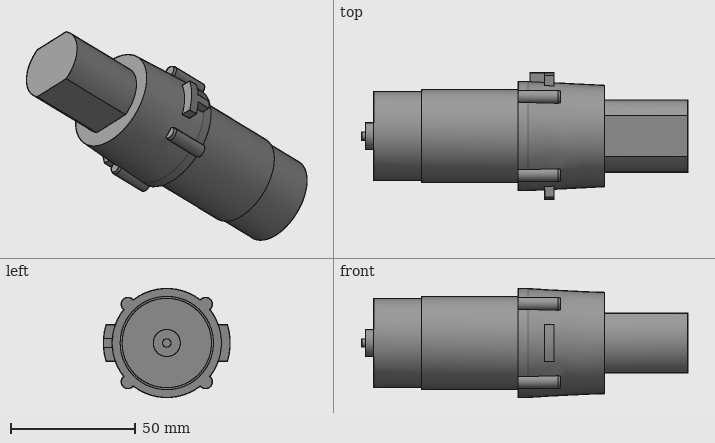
import cadquery as cq

length = 131.1
boss_start = 1.6
cap_start = 4.9
barrel_start = 24.1
collar_start = 62.9
taper_start = 66.9
shank_start = 97.7

tip_diameter = 3.4
boss_diameter = 10.9
cap_diameter = 35.9
barrel_diameter = 37.5
collar_diameter = 43.9
taper_end_diameter = 40.8

shank_diameter = 29.1
shank_height = 24.0

rod_diameter = 5.5
rod_offset = 15.6
rod_length = 17.0
rod_end_chamfer_length = 1.0
rod_end_chamfer_depth = 0.4

tab_outer_diameter = 51.0
tab_start = 73.5
tab_thickness = 3.8
tab_height = 14.8
key_start = 67.6
key_height = 3.7


def cylinder(start, end, diameter):
    """Cylinder on the X axis between two stations."""
    return cq.Workplane("YZ").workplane(offset=start).circle(diameter / 2).extrude(end - start)


def turned_body():
    """Stepped body, from the tip to the small end of the tapered housing."""
    return (
        cq.Workplane("XY")
        .moveTo(0, 0)
        .lineTo(0, tip_diameter / 2)
        .lineTo(boss_start, tip_diameter / 2)
        .lineTo(boss_start, boss_diameter / 2)
        .lineTo(cap_start, boss_diameter / 2)
        .lineTo(cap_start, cap_diameter / 2)
        .lineTo(barrel_start, cap_diameter / 2)
        .lineTo(barrel_start, barrel_diameter / 2)
        .lineTo(collar_start, barrel_diameter / 2)
        .lineTo(collar_start, collar_diameter / 2)
        .lineTo(taper_start, collar_diameter / 2)
        .lineTo(shank_start, taper_end_diameter / 2)
        .lineTo(shank_start, 0)
        .close()
        .revolve(360, (0, 0, 0), (1, 0, 0))
    )


def shank():
    """Round shank cut to two parallel flats."""
    flats = cq.Workplane("XY").box(2 * length, shank_diameter, shank_height)
    return cylinder(shank_start, length, shank_diameter).intersect(flats)


def rods():
    """Four rods parallel to X, chamfered at the end toward the shank."""
    return (
        cq.Workplane("YZ")
        .workplane(offset=collar_start)
        .rect(2 * rod_offset, 2 * rod_offset, forConstruction=True)
        .vertices()
        .circle(rod_diameter / 2)
        .extrude(rod_length)
        .faces(">X")
        .chamfer(rod_end_chamfer_length, rod_end_chamfer_depth)
    )


def side_tabs(start, end, height):
    """Pair of tabs on +Y and -Y with a round outer face."""
    band = cq.Workplane("XY").box(2 * length, tab_outer_diameter, height)
    return cylinder(start, end, tab_outer_diameter).intersect(band)


def key():
    """Narrow key in front of the +Y tab."""
    plus_y_side = cq.Workplane("XY").box(
        2 * length, tab_outer_diameter, tab_height, centered=(True, False, True)
    )
    return side_tabs(key_start, tab_start, key_height).intersect(plus_y_side)


tabs = side_tabs(tab_start, tab_start + tab_thickness, tab_height)
result = turned_body().union(shank()).union(rods()).union(tabs).union(key())